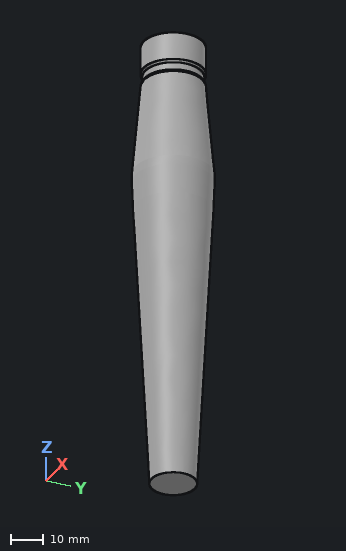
import math

import cadquery as cq

total_length = 155.0
cap_length = 9.5
groove_length = 4.3
groove_chamfer = 0.9
upper_taper_length = 31.4
band_length = 3.0
blend_length = 9.8

cap_diameter = 20.5
groove_diameter = 19.4
band_diameter = 26.0
tail_diameter = 15.0

upper_taper_angle = math.radians(5.0)
lower_taper_angle = math.radians(3.0)

cap_bottom = total_length - cap_length
shoulder_height = cap_bottom - groove_length
band_top = shoulder_height - upper_taper_length
band_bottom = band_top - band_length
blend_bottom = band_bottom - blend_length

cap_radius = cap_diameter / 2
groove_radius = groove_diameter / 2
band_radius = band_diameter / 2
tail_radius = tail_diameter / 2
shoulder_radius = band_radius - upper_taper_length * math.tan(upper_taper_angle)
blend_end_radius = tail_radius + blend_bottom * math.tan(lower_taper_angle)


def handle_profile():
    """Closed half outline on the XZ plane, on the -X side of the axis."""
    return (
        cq.Workplane("XZ")
        .lineTo(-tail_radius, 0)
        .lineTo(-blend_end_radius, blend_bottom)
        .tangentArcPoint((-band_radius, band_bottom), relative=False)
        .lineTo(-band_radius, band_top)
        .lineTo(-shoulder_radius, shoulder_height)
        .lineTo(-groove_radius, shoulder_height + groove_chamfer)
        .lineTo(-groove_radius, cap_bottom - groove_chamfer)
        .lineTo(-cap_radius, cap_bottom)
        .lineTo(-cap_radius, total_length)
        .lineTo(0, total_length)
        .close()
    )


result = handle_profile().revolve(360, (0, 0, 0), (0, 1, 0))